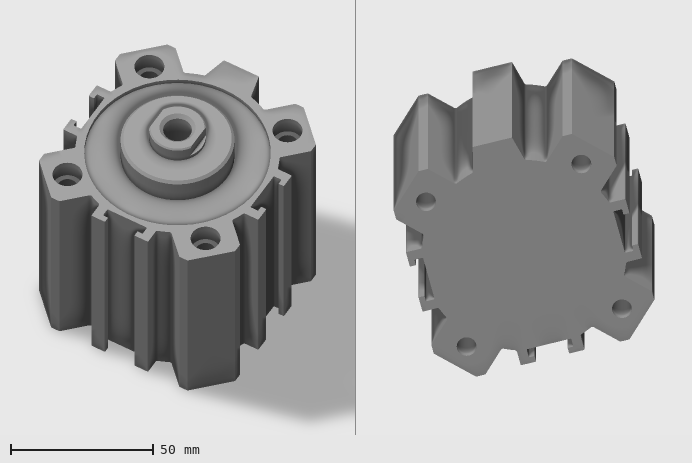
import cadquery as cq
import math

body_height = 73.0
half_width = 40.0
wall_radius = 35.9
recess_diameter = 65.5
recess_depth = 1.8

lug_width = 22.0
lug_reach = 67.9 / math.sqrt(2)
root_fillet = 0.9
position_tolerance = 0.01

bolt_offset = 28.2
bolt_diameter = 7.0
counterbore_diameter = 10.5
counterbore_depth = 7.0

rail_half_width = 11.6
slot_half_width = 8.1
mouth_half_width = 6.0
slot_floor = 34.5
rail_end = 39.85
lip_thickness = 2.2
rail_fillet = 0.35
rail_angles = (0, 180, 270)

tongue_end = 44.0
tongue_tip_half_width = 7.1
tongue_root_half_width = 9.4
tongue_root = math.sqrt(wall_radius**2 - tongue_root_half_width**2)

collar_diameter = 40.0
collar_top = 81.0
collar_chamfer = 1.0

rod_top = 87.0
rod_diameter = 20.0
rod_chamfer = 0.5
flat_spacing = 17.0
flat_height = 4.5
rod_hole_diameter = 10.1
rod_hole_mouth_diameter = 12.7
rod_hole_depth = 15.0
rod_bottom = 43.5


def turned(body, angle):
    return body.rotate((0, 0, 0), (0, 0, 1), angle)


def prism(points):
    return cq.Workplane("XY").polyline(points).close().extrude(body_height)


def bar(length, width):
    return cq.Workplane("XY").rect(length, width).extrude(body_height)


def cylinder(diameter, bottom, top):
    return cq.Workplane("XY").workplane(offset=bottom).circle(diameter / 2).extrude(top - bottom)


def corner_lugs():
    """Two crossed diagonal bars, trimmed flat on the four sides."""
    diagonal = bar(2 * lug_reach, lug_width)
    cross = turned(diagonal, 45).union(turned(diagonal, -45))
    return cross.intersect(bar(2 * half_width, 2 * half_width))


def tongue():
    slope = (tongue_root_half_width - tongue_tip_half_width) / (tongue_end - tongue_root)
    buried_half_width = tongue_tip_half_width + slope * (tongue_end - recess_diameter / 2)
    return prism([
        (-tongue_tip_half_width, tongue_end),
        (tongue_tip_half_width, tongue_end),
        (buried_half_width, recess_diameter / 2),
        (-buried_half_width, recess_diameter / 2),
    ])


def upright_edges(body, points):
    """Full-height edges of `body` standing at the given points."""
    uprights = body.edges("|Z")
    found = [
        edge for edge in uprights.vals()
        if any(math.hypot(edge.Center().x - x, edge.Center().y - y) < position_tolerance for x, y in points)
    ]
    return body.newObject(found)


def mirrored(points):
    return [(sx * x, sy * y) for x, y in points for sx in (-1, 1) for sy in (-1, 1)]


def root_corners():
    """Inner corners where the lugs, rails and tongue leave the curved wall."""
    lug_half = lug_width / 2
    along = math.sqrt(wall_radius**2 - lug_half**2)
    near = (along - lug_half) / math.sqrt(2)
    far = (along + lug_half) / math.sqrt(2)
    rail_root = math.sqrt(wall_radius**2 - rail_half_width**2)
    corners = mirrored([(near, far), (far, near), (rail_root, rail_half_width)])
    corners += [(x, -rail_root) for x in (-rail_half_width, rail_half_width)]
    corners += [(x, tongue_root) for x in (-tongue_root_half_width, tongue_root_half_width)]
    return corners


def rail():
    """Solid rail along +X, before its slot is cut."""
    return (
        cq.Workplane("XY").center(rail_end / 2, 0).rect(rail_end, 2 * rail_half_width)
        .extrude(body_height).edges("|Z and >X").fillet(rail_fillet)
    )


def t_slot():
    """T-slot open towards +X: a wide channel and a mouth whose outer edges are rounded."""
    lip = rail_end - lip_thickness
    channel = (
        cq.Workplane("XY").center((slot_floor + lip) / 2, 0)
        .rect(lip - slot_floor, 2 * slot_half_width).extrude(body_height).edges("|Z").fillet(rail_fillet)
    )
    flared = mouth_half_width + rail_fillet
    curve_start = rail_end - rail_fillet
    mouth = (
        cq.Workplane("XY").moveTo(slot_floor, -mouth_half_width)
        .lineTo(curve_start, -mouth_half_width)
        .radiusArc((rail_end, -flared), rail_fillet)
        .lineTo(rail_end, flared)
        .radiusArc((curve_start, mouth_half_width), rail_fillet)
        .lineTo(slot_floor, mouth_half_width)
        .close().extrude(body_height)
    )
    return channel.union(mouth)


def bolt_holes():
    bottom = body_height - counterbore_depth
    spots = [(x, y) for x in (-bolt_offset, bolt_offset) for y in (-bolt_offset, bolt_offset)]
    holes = cq.Workplane("XY").pushPoints(spots).circle(bolt_diameter / 2).extrude(body_height)
    counterbores = (
        cq.Workplane("XY").workplane(offset=bottom).pushPoints(spots)
        .circle(counterbore_diameter / 2).extrude(counterbore_depth)
    )
    return holes.union(counterbores)


def make_housing():
    housing = cylinder(2 * wall_radius, 0, body_height).union(corner_lugs()).union(tongue())
    for angle in rail_angles:
        housing = housing.union(turned(rail(), angle))
    housing = upright_edges(housing, root_corners()).fillet(root_fillet)
    for angle in rail_angles:
        housing = housing.cut(turned(t_slot(), angle))
    recess_floor = body_height - recess_depth
    housing = housing.cut(cylinder(recess_diameter, recess_floor, body_height)).cut(bolt_holes())
    collar = cylinder(collar_diameter, recess_floor, collar_top).faces(">Z").chamfer(collar_chamfer)
    return housing.union(collar).cut(cylinder(rod_diameter, rod_bottom, rod_top))


def make_rod():
    rod = cylinder(rod_diameter, rod_bottom, rod_top).faces(">Z").chamfer(rod_chamfer)
    rod = rod.faces(">Z").workplane().cskHole(
        rod_hole_diameter, rod_hole_mouth_diameter, 90, depth=rod_hole_depth
    )
    flats_bottom = rod_top - flat_height
    across_flats = (
        cq.Workplane("XY").workplane(offset=flats_bottom)
        .rect(flat_spacing, 2 * rod_diameter).extrude(flat_height)
    )
    return rod.cut(cylinder(2 * rod_diameter, flats_bottom, rod_top).cut(across_flats))


housing = make_housing()
rod = make_rod()
result = cq.Compound.makeCompound([housing.val(), rod.val()])